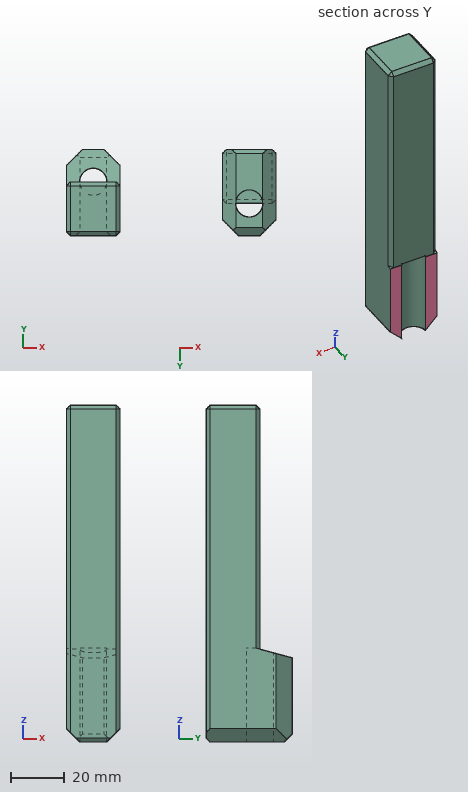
import cadquery as cq
import math

width = 20.0
column_depth = 20.0
foot_depth = 32.0
height = 125.0

edge_chamfer = 1.5
slope_angle = 15.0
slope_height_at_column = 34.5
foot_corner_chamfer = 6.0
bottom_side_chamfer = 5.0
bottom_back_chamfer = 3.0

hole_diameter = 10.0
hole_y = column_depth

slope_start = column_depth - edge_chamfer
slope_rate = math.tan(math.radians(slope_angle))
slope_top_height = slope_height_at_column + slope_rate * edge_chamfer
slope_end_height = slope_height_at_column - slope_rate * (foot_depth - column_depth)


def make_column():
    """Square bar with every edge broken except those around its bottom."""
    bar = cq.Workplane("XY").box(width, column_depth, height, centered=(True, False, False))
    return bar.edges("|Z or >Z").chamfer(edge_chamfer)


def make_foot():
    """Deeper block at the base, with a sloping top and chamfered vertical corners."""
    side_profile = [
        (0, 0),
        (foot_depth, 0),
        (foot_depth, slope_end_height),
        (slope_start, slope_top_height),
        (0, slope_top_height),
    ]
    block = cq.Workplane("YZ").polyline(side_profile).close().extrude(width / 2, both=True)
    block = block.edges("|Z and >Y").chamfer(foot_corner_chamfer)
    return block.edges("|Z and <Y").chamfer(edge_chamfer)


def make_bottom_envelope():
    """Full-size block whose underside is bevelled at the front, back and both sides."""
    front_back_profile = [
        (edge_chamfer, 0),
        (foot_depth - bottom_back_chamfer, 0),
        (foot_depth, bottom_back_chamfer),
        (foot_depth, height),
        (0, height),
        (0, edge_chamfer),
    ]
    side_to_side_profile = [
        (-width / 2 + bottom_side_chamfer, 0),
        (width / 2 - bottom_side_chamfer, 0),
        (width / 2, bottom_side_chamfer),
        (width / 2, height),
        (-width / 2, height),
        (-width / 2, bottom_side_chamfer),
    ]
    along_x = cq.Workplane("YZ").polyline(front_back_profile).close().extrude(width / 2, both=True)
    along_y = cq.Workplane("XZ").polyline(side_to_side_profile).close().extrude(-foot_depth)
    return along_x.intersect(along_y)


def make_hole():
    """Round hole rising from the underside and opening through the sloping foot top."""
    return cq.Workplane("XY").center(0, hole_y).circle(hole_diameter / 2).extrude(slope_top_height)


body = make_column().union(make_foot())
result = body.intersect(make_bottom_envelope()).cut(make_hole())